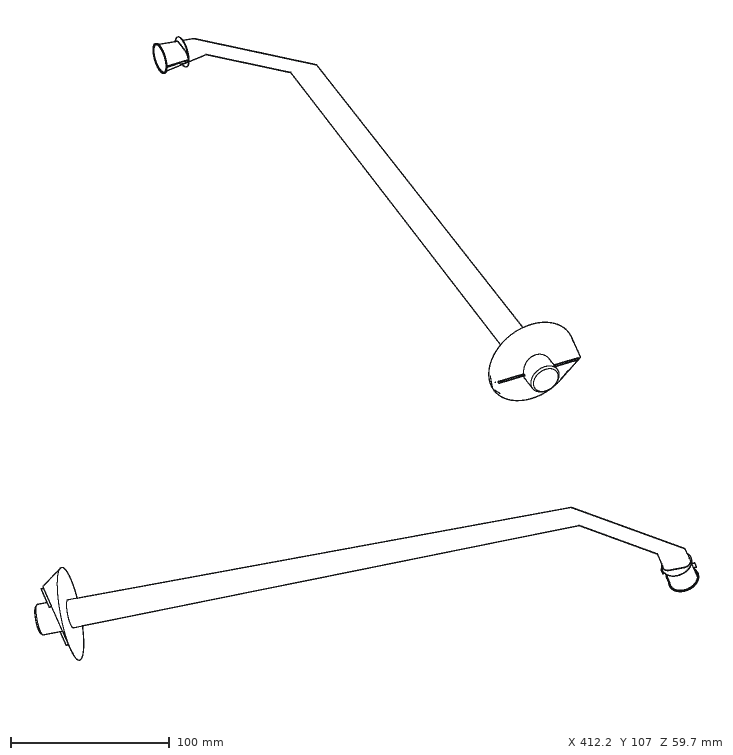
import cadquery as cq

sheet = 0.5
end_flat = 0.1

tube_radius = 9.0
bend_x = -352.5
nozzle_x = -401.0
nozzle_bend_y = -49.0

flange_radius = 29.9
flange_front_x = -21.0
flange_ridge_x = -11.5
flange_back_x = -10.0
fin_half_width = 28.0

stub_radius = 10.0
stub_start_x = -16.5
stub_chamfer = 1.2

outlet_y = flange_radius - 107.0
collar_radius = 10.0
collar_top_y = -61.5
lug_reach = nozzle_x + 412.2
lug_top_y = -64.0
lug_bottom_y = -68.0
rim_top_y = -71.5


def flat_to_round(start, direction, radius, length):
    """Solid tapering from a thin flat edge in the XY plane to a round end."""
    plane = cq.Plane(origin=start, xDir=(-direction[1], direction[0], 0), normal=direction)
    return (
        cq.Workplane(plane)
        .slot2D(2 * radius, sheet)
        .workplane(offset=length)
        .slot2D(2 * radius, 2 * radius - end_flat)
        .loft(ruled=True)
    )


def sheet_box(x_min, x_max, y_min, y_max):
    """Thin rectangle centred on the XY plane."""
    return cq.Workplane("XY").box(x_max - x_min, y_max - y_min, sheet).translate(
        ((x_min + x_max) / 2, (y_min + y_max) / 2, 0)
    )


def make_stub():
    """Round wall connection with a chamfered end."""
    return (
        cq.Workplane("YZ", origin=(stub_start_x, 0, 0))
        .circle(stub_radius)
        .extrude(-stub_start_x)
        .faces(">X")
        .chamfer(stub_chamfer)
    )


def make_arm():
    long_run = flat_to_round((bend_x, 0, 0), (1, 0, 0), tube_radius, stub_start_x - bend_x)
    diagonal = (
        cq.Workplane("XY", origin=(0, 0, -sheet / 2))
        .moveTo(bend_x, tube_radius)
        .lineTo(bend_x, -tube_radius)
        .lineTo(nozzle_x + tube_radius, nozzle_bend_y)
        .lineTo(nozzle_x - tube_radius, nozzle_bend_y)
        .close()
        .extrude(sheet)
    )
    outlet = flat_to_round(
        (nozzle_x, nozzle_bend_y, 0), (0, -1, 0), tube_radius, nozzle_bend_y - outlet_y
    )
    return long_run.union(diagonal).union(outlet).union(make_stub())


def make_flange(arm):
    """Wall flange with a round front that tapers to a ridge and a thin fin."""
    taper = flat_to_round(
        (flange_ridge_x, 0, 0), (-1, 0, 0), flange_radius, flange_ridge_x - flange_front_x
    )
    fin = sheet_box(flange_ridge_x, flange_back_x, -fin_half_width, fin_half_width)
    return taper.union(fin).cut(arm)


def make_collar(arm):
    """Two thin discs round the outlet, joined by side strips that carry lugs."""
    collar = sheet_box(
        nozzle_x - tube_radius - sheet, nozzle_x + tube_radius + sheet, outlet_y, collar_top_y
    )
    for y_min, y_max, reach in (
        (lug_bottom_y, lug_top_y, lug_reach),
        (outlet_y, rim_top_y, collar_radius),
    ):
        collar = collar.union(sheet_box(nozzle_x - reach, nozzle_x + reach, y_min, y_max))
    for disc_y in (collar_top_y, outlet_y + sheet):
        disc = cq.Workplane("XZ", origin=(nozzle_x, disc_y, 0)).circle(collar_radius).extrude(sheet)
        collar = collar.union(disc)
    return collar.cut(arm)


arm = make_arm()
flange = make_flange(arm)
collar = make_collar(arm)

result = cq.Compound.makeCompound([body.solids().val() for body in (arm, flange, collar)])